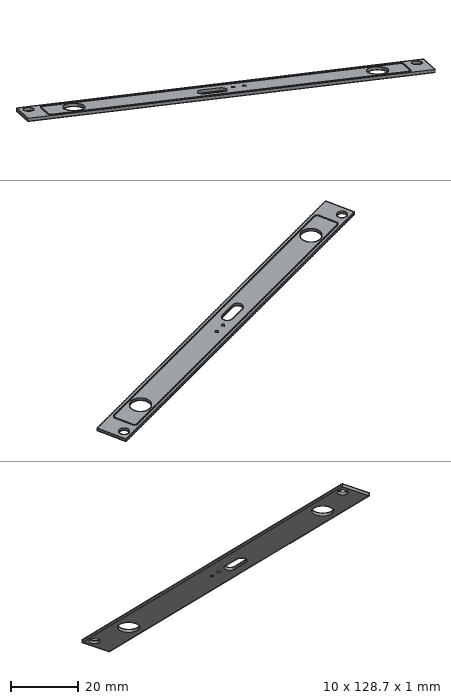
import cadquery as cq

plate_width = 10.0
plate_length = 128.7
plate_thickness = 1.0

frame_width = 8.2
frame_length = 114.8
frame_corner_radius = 1.0
groove_width = 0.2
groove_depth = 0.1

mount_diameter = 3.2
mount_x = -2.6
mount_end_distance = 3.0
mount_y = plate_length / 2 - mount_end_distance

jack_diameter = 6.5
jack_y = 48.0

pinhole_diameter = 1.0
pinhole_x = -0.6
pinhole_ys = (6.0, 2.6)

slot_width = 3.5
slot_length = 9.1
slot_x = 0.4
slot_y = -4.4


def through_holes(diameter, centres):
    """Full-depth cylinders at the given XY centres."""
    return cq.Workplane("XY").pushPoints(centres).circle(diameter / 2).extrude(plate_thickness)


def frame_block(inset):
    """Rounded block as deep as the groove, set in from the frame's outer line."""
    return (
        cq.Workplane("XY", origin=(0, 0, plate_thickness - groove_depth))
        .rect(frame_width - 2 * inset, frame_length - 2 * inset)
        .extrude(groove_depth)
        .edges("|Z")
        .fillet(frame_corner_radius - inset)
    )


def slot_cutter():
    """Full-depth slot with semicircular ends."""
    return (
        cq.Workplane("XY", origin=(slot_x, slot_y, 0))
        .slot2D(slot_length, slot_width, 90)
        .extrude(plate_thickness)
    )


plate = cq.Workplane("XY").box(
    plate_width, plate_length, plate_thickness, centered=(True, True, False)
)
frame_groove = frame_block(0).cut(frame_block(groove_width))

result = (
    plate.cut(frame_groove)
    .cut(through_holes(mount_diameter, [(mount_x, mount_y), (mount_x, -mount_y)]))
    .cut(through_holes(jack_diameter, [(0, jack_y), (0, -jack_y)]))
    .cut(through_holes(pinhole_diameter, [(pinhole_x, y) for y in pinhole_ys]))
    .cut(slot_cutter())
)